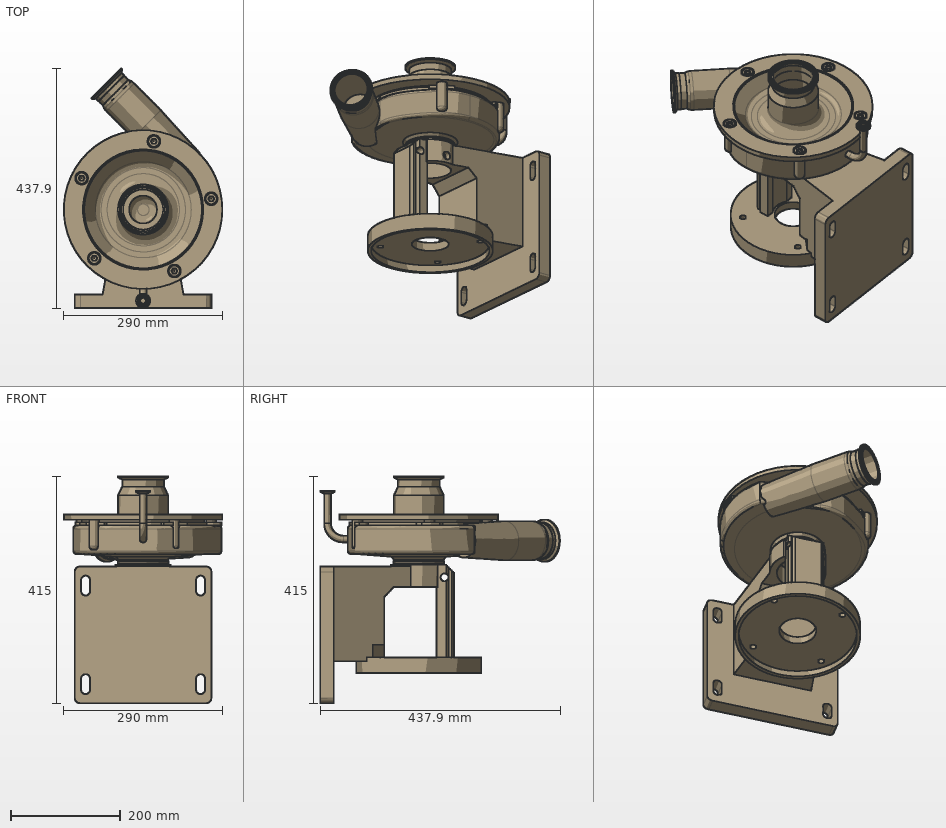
import cadquery as cq
import math


PLATE_SIZE = 250.0
PLATE_THICK = 25.0
PLATE_CORNER = 10.0
PLATE_BACK_Y = -180.0
PLATE_FRONT_Y = PLATE_BACK_Y + PLATE_THICK
SLOT_WIDTH = 16.0
SLOT_LENGTH = 36.0
SLOT_INSET_X = 20.0
SLOT_INSET_Z = 35.0

RING_RADIUS = 51.0
RING_HEIGHT = 38.0
RING_RISE = 3.5
RING_TOP = PLATE_SIZE + RING_RISE
RING_BOTTOM = PLATE_SIZE - RING_HEIGHT
RING_REAR_Y = 34.5
BRACKET_BORE = 38.0
WEB_START_Y = -14.6
WEB_END_HALF = 74.0
WEB_START_HALF = math.sqrt(RING_RADIUS ** 2 - WEB_START_Y ** 2)
WEB_BOTTOM = 76.5
WEB_INNER_Y = -63.0
WEB_CHAMFER_Y = 17.0
WEB_CHAMFER_Z = 18.0
RELIEF_HEIGHT = 22.5
RELIEF_DEPTH = 21.0
RING_HOLE_DIA = 15.0
RING_HOLE_Z = 226.0

DISC_RADIUS = 114.3
DISC_TOP = 84.0
DISC_THICK = 29.0
DISC_BORE = 33.7
DISC_PILOT_RADIUS = 108.0
DISC_PILOT_DEPTH = 13.0
DISC_HOLE_DIA = 11.0
DISC_BOLT_RADIUS = 92.1
DISC_HOLE_COUNT = 4

POST_HALF = 34.0
POST_FRONT_Y = 32.0
POST_BACK_Y = 64.6
POST_STEP = 4.7
POST_STEP_FLAT = 5.5
POST_SLANT = 15.5
POST_HOLE_DIA = 14.0
POST_HOLE_Y = 47.0
POST_HOLE_Z = 230.0

CASE_TOP = 325.0
CASE_EDGE_RADIUS = 6.0
CASE_RADIUS = 135.5
CASE_CENTER = (8.0, 5.5)
CASE_NARROW_RADIUS = 122.0
CASE_THROAT = (-6.0, 119.0)
CASE_BOTTOM = 272.5
CONE_RADIUS = 116.0
HUB_TOP_Z = 267.5
HUB_TOP_RADIUS = 50.0
HUB_RADIUS = 46.5
HUB_WAIST = 45.0
HUB_WAIST_Z = 262.0
HUB_BAND_Z = 259.0
HUB_BAND_BOTTOM = 256.0
HUB_FOOT_RADIUS = 45.5

COVER_RADIUS = 145.0
COVER_TOP = 345.0
COVER_THICK = 10.0
COVER_BOTTOM = COVER_TOP - COVER_THICK
COVER_SPIGOT = 112.0
CASE_RING_RADIUS = 116.0
DISH_DEPTH = 25.0
DISH_FLOOR = COVER_TOP - DISH_DEPTH
DISH_LIP_RADIUS = 110.0
DISH_OUTER_FILLET = 15.0
DISH_FILLET_START = 77.0
DISH_INNER_FILLET = 20.0

LUG_COUNT = 5
LUG_FIRST_ANGLE = 9.0
LUG_CIRCLE = 126.0
LUG_RADIUS = 9.5
LUG_BOTTOM = 280.0
LUG_END_FILLET = 7.5
PAD_RADIUS = 24.0
PAD_TOP = 331.0
SCREW_SEAT_RADIUS = 11.8
SCREW_HEAD_RADIUS = 10.0
SCREW_SEAT_DEPTH = 4.0
SCREW_HEX_CORNERS = 11.0
SCREW_HEX_DEPTH = 3.0
SCREW_POINT_RADIUS = 4.7
SCREW_POINT_ANGLE = 45.0
SCREW_POINT_DEPTH = 4.5

INLET_TOP = 415.0
INLET_RADIUS = 46.0
INLET_NECK = 38.5
INLET_NECK_BOTTOM = 395.4
INLET_CONE_BOTTOM = 379.6
INLET_BORE = 36.6
INLET_CHAMBER = 43.0
INLET_CHAMBER_TOP = 376.0
INLET_FLOOR = DISH_FLOOR
BOWL_RADIUS = 25.5
BOWL_FLOOR_RADIUS = 10.5
CLAMP_RIM = 2.5
CLAMP_TAPER = 4.0
GASKET_GROOVE_INSET = 3.0
GASKET_GROOVE_WIDTH = 3.0
GASKET_GROOVE_DEPTH = 1.5

PIPE_ANGLE = 135.0
PIPE_OFFSET = 115.5
PIPE_Z = 297.0
PIPE_RADIUS = 36.0
PIPE_ROOT_RADIUS = 31.0
PIPE_TAPER_END = 106.0
PIPE_END = 210.5
PIPE_CLAMP_RADIUS = 38.75
PIPE_NECK = 33.0
PIPE_NECK_LENGTH = 24.0
PIPE_NECK_CONE = 5.5
PIPE_SHOULDER_RADIUS = 35.4
PIPE_SHOULDER = 6.0
PIPE_FERRULE_RADIUS = 33.6
PIPE_FERRULE_LENGTH = 13.0
PIPE_BORE = 30.1

TUBE_RADIUS = 6.4
TUBE_BORE = 5.2
TUBE_Z = 300.0
TUBE_ELBOW_RADIUS = 28.5
TUBE_Y = -166.6
TUBE_CLAMP_RADIUS = 13.0
TUBE_CLAMP_RIM = 2.5
TUBE_CLAMP_TAPER = 3.5
TUBE_TOP = 388.5


def cylinder(radius, bottom, top, x=0.0, y=0.0):
    return cq.Workplane("XY", origin=(x, y, bottom)).circle(radius).extrude(top - bottom)


def revolve_profile(points):
    """Turn an (r, z) polygon about the Z axis."""
    return cq.Workplane("XZ").polyline(points).close().revolve(360, (0, 0), (0, 1))


def on_circle(radius, angle):
    return (radius * math.cos(math.radians(angle)), radius * math.sin(math.radians(angle)))


def on_arc(center, radius, angle):
    x, y = on_circle(radius, angle)
    return (center[0] + x, center[1] + y)


def wall_plate():
    plate = (
        cq.Workplane("XZ", origin=(0, PLATE_FRONT_Y, PLATE_SIZE / 2))
        .rect(PLATE_SIZE, PLATE_SIZE)
        .extrude(PLATE_THICK)
        .edges("|Y")
        .fillet(PLATE_CORNER)
    )
    slots = (
        cq.Workplane("XZ", origin=(0, PLATE_FRONT_Y, PLATE_SIZE / 2))
        .rarray(PLATE_SIZE - 2 * SLOT_INSET_X, PLATE_SIZE - 2 * SLOT_INSET_Z, 2, 2)
        .slot2D(SLOT_LENGTH, SLOT_WIDTH, 90)
        .extrude(PLATE_THICK)
    )
    return plate.cut(slots)


def web_half_width(y):
    slope = (WEB_END_HALF - WEB_START_HALF) / (WEB_START_Y - PLATE_FRONT_Y)
    return WEB_START_HALF + slope * (WEB_START_Y - y)


def bracket_web():
    side = [
        (WEB_START_Y, PLATE_SIZE),
        (PLATE_FRONT_Y, PLATE_SIZE),
        (PLATE_FRONT_Y, WEB_BOTTOM),
        (WEB_INNER_Y, WEB_BOTTOM),
        (WEB_INNER_Y, RING_BOTTOM - WEB_CHAMFER_Z),
        (WEB_INNER_Y + WEB_CHAMFER_Y, RING_BOTTOM),
        (WEB_START_Y, RING_BOTTOM),
    ]
    plan = [
        (WEB_START_HALF, WEB_START_Y),
        (WEB_END_HALF, PLATE_FRONT_Y),
        (-WEB_END_HALF, PLATE_FRONT_Y),
        (-WEB_START_HALF, WEB_START_Y),
    ]
    web = cq.Workplane("YZ").polyline(side).close().extrude(WEB_END_HALF, both=True)
    web = web.intersect(cq.Workplane("XY").polyline(plan).close().extrude(PLATE_SIZE))
    relief_y = WEB_INNER_Y - RELIEF_DEPTH
    relief_x = web_half_width(relief_y)
    for sign in (1, -1):
        corner = [
            (sign * (relief_x - RELIEF_DEPTH), WEB_INNER_Y),
            (sign * relief_x, relief_y),
            (sign * relief_x, WEB_INNER_Y),
        ]
        relief = cq.Workplane("XY", origin=(0, 0, DISC_TOP)).polyline(corner).close()
        web = web.cut(relief.extrude(RELIEF_HEIGHT))
    return web


def bracket_post():
    """Rear post with stepped back corners, joining the motor disc to the ring."""
    step_y = POST_BACK_Y - 2 * POST_STEP - POST_STEP_FLAT
    right = [
        (POST_HALF, POST_FRONT_Y),
        (POST_HALF, step_y),
        (POST_HALF - POST_STEP, step_y + POST_STEP),
        (POST_HALF - POST_STEP, POST_BACK_Y - POST_STEP),
        (POST_HALF - 2 * POST_STEP, POST_BACK_Y),
    ]
    left = [(-x, y) for x, y in reversed(right)]
    post = (
        cq.Workplane("XY", origin=(0, 0, DISC_TOP))
        .polyline(right + left)
        .close()
        .extrude(RING_TOP - DISC_TOP)
    )
    slant = (
        cq.Workplane("YZ")
        .moveTo(POST_BACK_Y, RING_TOP - POST_SLANT)
        .lineTo(POST_BACK_Y, RING_TOP)
        .lineTo(POST_BACK_Y - POST_SLANT, RING_TOP)
        .close()
        .extrude(POST_HALF, both=True)
    )
    return post.cut(slant)


def motor_disc():
    """Motor flange with a centre hole, a pilot recess underneath and a ring of bolt holes."""
    bottom = DISC_TOP - DISC_THICK
    disc = cylinder(DISC_RADIUS, bottom, DISC_TOP)
    disc = disc.cut(cylinder(DISC_BORE, bottom, DISC_TOP))
    disc = disc.cut(cylinder(DISC_PILOT_RADIUS, bottom, bottom + DISC_PILOT_DEPTH))
    for index in range(DISC_HOLE_COUNT):
        x, y = on_circle(DISC_BOLT_RADIUS, 45 + index * 360 / DISC_HOLE_COUNT)
        disc = disc.cut(cylinder(DISC_HOLE_DIA / 2, bottom, DISC_TOP, x, y))
    return disc


def bracket_ring():
    """Ring under the pump, cut flat at the rear where the post takes over."""
    ring = cylinder(RING_RADIUS, RING_BOTTOM, RING_TOP)
    rear = (
        cq.Workplane("XY", origin=(0, RING_REAR_Y, RING_BOTTOM))
        .rect(2 * RING_RADIUS, 2 * (RING_RADIUS - RING_REAR_Y))
        .extrude(RING_TOP - RING_BOTTOM)
        .translate((0, RING_RADIUS - RING_REAR_Y, 0))
    )
    return ring.cut(rear)


def bracket():
    upper = bracket_ring().union(bracket_web()).union(bracket_post())
    upper = upper.cut(cylinder(BRACKET_BORE, DISC_TOP, RING_TOP))
    post_hole = (
        cq.Workplane("YZ", origin=(-POST_HALF, 0, 0))
        .center(POST_HOLE_Y, POST_HOLE_Z)
        .circle(POST_HOLE_DIA / 2)
        .extrude(2 * POST_HALF)
    )
    ring_hole = (
        cq.Workplane("YZ", origin=(-RING_RADIUS, 0, 0))
        .center(0, RING_HOLE_Z)
        .circle(RING_HOLE_DIA / 2)
        .extrude(RING_RADIUS)
    )
    upper = upper.cut(post_hole).cut(ring_hole)
    return upper.union(motor_disc()).union(wall_plate())


def casing_outline(bottom):
    """Volute outline: a large offset arc, a tightening curve and a side closed under the pipe."""
    start = on_arc(CASE_CENTER, CASE_RADIUS, 45)
    closing_direction = (start[0] - CASE_THROAT[0], start[1] - CASE_THROAT[1])
    return (
        cq.Workplane("XY", origin=(0, 0, bottom))
        .moveTo(*start)
        .threePointArc(
            on_arc(CASE_CENTER, CASE_RADIUS, -67.5),
            on_arc(CASE_CENTER, CASE_RADIUS, 180),
        )
        .spline(
            [on_circle(CASE_NARROW_RADIUS, PIPE_ANGLE), CASE_THROAT],
            tangents=[(0, 1), closing_direction],
            includeCurrent=True,
        )
        .close()
    )


def casing():
    body = casing_outline(CASE_BOTTOM).extrude(CASE_TOP - CASE_BOTTOM)
    body = body.faces("|Z").edges().fillet(CASE_EDGE_RADIUS)
    body = body.union(casing_hub())
    body = body.union(cylinder(CASE_RING_RADIUS, CASE_TOP, PAD_TOP))
    return body.union(cylinder(COVER_SPIGOT, CASE_TOP, COVER_BOTTOM))


def casing_hub():
    """Shallow cone under the casing, and the waisted neck seated on the bracket ring."""
    return revolve_profile(
        [
            (0, CASE_BOTTOM),
            (CONE_RADIUS, CASE_BOTTOM),
            (HUB_TOP_RADIUS, HUB_TOP_Z),
            (HUB_WAIST, HUB_WAIST_Z),
            (HUB_RADIUS, HUB_BAND_Z),
            (HUB_RADIUS, HUB_BAND_BOTTOM),
            (HUB_FOOT_RADIUS, HUB_BAND_BOTTOM),
            (HUB_FOOT_RADIUS, RING_TOP),
            (0, RING_TOP),
        ]
    )


def cover_dish():
    """Round dish sunk in the cover: coned side, flat floor and a concave blend into the port."""
    sine = math.sin(math.radians(45))
    blend_r = DISH_FILLET_START + DISH_OUTER_FILLET * sine
    blend_z = DISH_FLOOR + DISH_OUTER_FILLET * (1 - sine)
    mid_angle = math.radians(22.5)
    blend_mid = (
        DISH_FILLET_START + DISH_OUTER_FILLET * math.sin(mid_angle),
        DISH_FLOOR + DISH_OUTER_FILLET * (1 - math.cos(mid_angle)),
    )
    cone_top_r = blend_r + COVER_TOP - blend_z
    lip = DISH_LIP_RADIUS - cone_top_r
    arc_r = INLET_RADIUS + DISH_INNER_FILLET
    arc_inset = DISH_INNER_FILLET * (1 - sine)
    return (
        cq.Workplane("XZ")
        .moveTo(INLET_RADIUS, DISH_FLOOR + DISH_INNER_FILLET)
        .threePointArc((INLET_RADIUS + arc_inset, DISH_FLOOR + arc_inset), (arc_r, DISH_FLOOR))
        .lineTo(DISH_FILLET_START, DISH_FLOOR)
        .threePointArc(blend_mid, (blend_r, blend_z))
        .lineTo(cone_top_r - lip / 2, COVER_TOP - lip / 2)
        .lineTo(DISH_LIP_RADIUS, COVER_TOP)
        .lineTo(INLET_RADIUS, COVER_TOP)
        .close()
        .revolve(360, (0, 0), (0, 1))
    )


def lug_centers():
    step = 360 / LUG_COUNT
    return [on_circle(LUG_CIRCLE, LUG_FIRST_ANGLE + index * step) for index in range(LUG_COUNT)]


def lugs():
    """Screw lugs down the casing side, each with a pad trimmed to the casing outline."""
    outline = casing_outline(CASE_TOP).extrude(PAD_TOP - CASE_TOP)
    group = cq.Workplane("XY")
    for x, y in lug_centers():
        lug = cylinder(LUG_RADIUS, LUG_BOTTOM, COVER_BOTTOM, x, y)
        lug = lug.faces("<Z").edges().fillet(LUG_END_FILLET)
        pad = cylinder(PAD_RADIUS, CASE_TOP, PAD_TOP, x, y).intersect(outline)
        group = group.union(lug).union(pad)
    return group


def screw_recesses():
    group = cq.Workplane("XY")
    seat_bottom = COVER_TOP - SCREW_SEAT_DEPTH
    for x, y in lug_centers():
        seat = cylinder(SCREW_SEAT_RADIUS, seat_bottom, COVER_TOP, x, y)
        head = cylinder(SCREW_HEAD_RADIUS, seat_bottom, COVER_TOP, x, y)
        socket = (
            cq.Workplane("XY", origin=(x, y, COVER_TOP))
            .polygon(6, SCREW_HEX_CORNERS)
            .extrude(-SCREW_HEX_DEPTH)
        )
        point = (
            cq.Workplane("XY", origin=(x, y, COVER_TOP - SCREW_HEX_DEPTH))
            .circle(SCREW_POINT_RADIUS)
            .extrude(-SCREW_POINT_DEPTH, taper=SCREW_POINT_ANGLE)
        )
        group = group.union(seat.cut(head)).union(socket).union(point)
    return group


def gasket_groove(clamp_radius, face):
    outer = clamp_radius - GASKET_GROOVE_INSET
    bottom = face - GASKET_GROOVE_DEPTH
    groove = cylinder(outer, bottom, face)
    return groove.cut(cylinder(outer - GASKET_GROOVE_WIDTH, bottom, face))


def inlet_port():
    port = revolve_profile(
        [
            (0, DISH_FLOOR),
            (INLET_RADIUS, DISH_FLOOR),
            (INLET_RADIUS, INLET_CONE_BOTTOM),
            (INLET_NECK, INLET_NECK_BOTTOM),
            (INLET_NECK, INLET_TOP - CLAMP_RIM - CLAMP_TAPER),
            (INLET_RADIUS, INLET_TOP - CLAMP_RIM),
            (INLET_RADIUS, INLET_TOP),
            (0, INLET_TOP),
        ]
    )
    return port.cut(gasket_groove(INLET_RADIUS, INLET_TOP))


def inlet_cavity():
    """Port bore, wider chamber below it, and a rounded bowl in the chamber floor."""
    bowl_depth = BOWL_RADIUS - BOWL_FLOOR_RADIUS
    bowl = cylinder(BOWL_RADIUS, INLET_FLOOR - bowl_depth, INLET_FLOOR + bowl_depth)
    bowl = bowl.faces("<Z").edges().fillet(bowl_depth)
    chamber = cylinder(INLET_CHAMBER, INLET_FLOOR, INLET_CHAMBER_TOP)
    return cylinder(INLET_BORE, INLET_FLOOR, INLET_TOP).union(chamber).union(bowl)


def place_pipe(shape):
    """Lay a shape built along Z onto the discharge axis."""
    x, y = on_circle(PIPE_OFFSET, PIPE_ANGLE - 90)
    level = shape.rotate((0, 0, 0), (0, 1, 0), 90)
    return level.rotate((0, 0, 0), (0, 0, 1), PIPE_ANGLE).translate((x, y, PIPE_Z))


def discharge_pipe():
    neck_start = PIPE_END - PIPE_NECK_LENGTH
    shoulder = neck_start - PIPE_NECK_CONE
    ferrule = PIPE_END - PIPE_FERRULE_LENGTH
    pipe = revolve_profile(
        [
            (0, 0),
            (PIPE_ROOT_RADIUS, 0),
            (PIPE_RADIUS, PIPE_TAPER_END),
            (PIPE_RADIUS, shoulder - PIPE_SHOULDER),
            (PIPE_SHOULDER_RADIUS, shoulder),
            (PIPE_NECK, neck_start),
            (PIPE_NECK, ferrule),
            (PIPE_FERRULE_RADIUS, ferrule),
            (PIPE_FERRULE_RADIUS, PIPE_END - CLAMP_RIM - CLAMP_TAPER),
            (PIPE_CLAMP_RADIUS, PIPE_END - CLAMP_RIM),
            (PIPE_CLAMP_RADIUS, PIPE_END),
            (0, PIPE_END),
        ]
    )
    pipe = pipe.cut(gasket_groove(PIPE_CLAMP_RADIUS, PIPE_END))
    return place_pipe(pipe)


def discharge_bore():
    return place_pipe(cylinder(PIPE_BORE, PIPE_TAPER_END, PIPE_END))


def flush_tube():
    """Small tube leaving the casing toward -Y and bending up to its own clamp end."""
    elbow_end_z = TUBE_Z + TUBE_ELBOW_RADIUS
    elbow_start_y = TUBE_Y + TUBE_ELBOW_RADIUS
    inset = TUBE_ELBOW_RADIUS * (1 - math.sqrt(0.5))
    root_y = CASE_CENTER[1] - CASE_RADIUS + 2 * TUBE_RADIUS
    path = (
        cq.Workplane("YZ")
        .moveTo(root_y, TUBE_Z)
        .lineTo(elbow_start_y, TUBE_Z)
        .threePointArc((TUBE_Y + inset, TUBE_Z + inset), (TUBE_Y, elbow_end_z))
        .lineTo(TUBE_Y, TUBE_TOP - TUBE_CLAMP_RIM)
    )
    tube = cq.Workplane("XZ", origin=(0, root_y, TUBE_Z)).circle(TUBE_RADIUS).sweep(path)
    clamp = revolve_profile(
        [
            (0, TUBE_TOP - TUBE_CLAMP_RIM - TUBE_CLAMP_TAPER),
            (TUBE_RADIUS, TUBE_TOP - TUBE_CLAMP_RIM - TUBE_CLAMP_TAPER),
            (TUBE_CLAMP_RADIUS, TUBE_TOP - TUBE_CLAMP_RIM),
            (TUBE_CLAMP_RADIUS, TUBE_TOP),
            (0, TUBE_TOP),
        ]
    ).cut(gasket_groove(TUBE_CLAMP_RADIUS, TUBE_TOP))
    clamp = clamp.translate((0, TUBE_Y, 0))
    return tube.union(clamp).cut(cylinder(TUBE_BORE, elbow_end_z, TUBE_TOP, 0, TUBE_Y))


cover_plate = cylinder(COVER_RADIUS, COVER_BOTTOM, COVER_TOP)
pump = casing().union(discharge_pipe()).union(cover_plate).union(lugs()).cut(cover_dish())
pump = pump.union(inlet_port()).cut(inlet_cavity()).cut(discharge_bore()).cut(screw_recesses())
result = pump.union(flush_tube()).union(bracket())